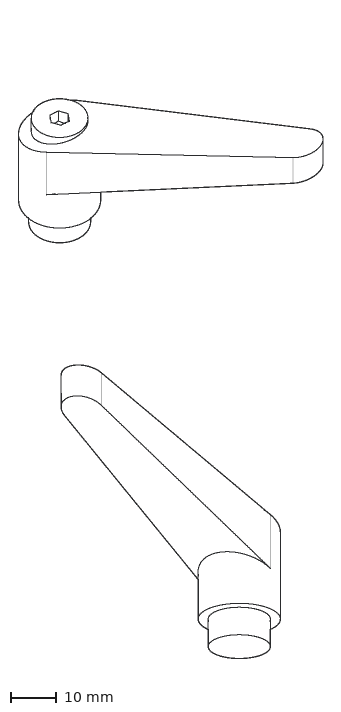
import cadquery as cq
import math

overall_length = 71.0
overall_height = 45.66

hub_radius = 9.0
neck_diameter = 13.6
neck_height = 6.5
cap_diameter = 12.4
cap_top = 31.0

tip_radius = 5.0
tip_end_x = overall_length - hub_radius
tip_center_x = tip_end_x - tip_radius
top_slope = math.tan(math.radians(15.4))
underside_slope = math.tan(math.radians(20.0))
tip_thickness = 7.3

socket_flats = 4.0
socket_corners = socket_flats / math.cos(math.pi / 6)
socket_depth = 3.0
socket_point_angle = 118.0


def top_height(x):
    """Height of the sloping top plane at x."""
    return overall_height - top_slope * (tip_end_x - x)


def underside_height(x):
    """Height of the arm's sloping underside at x."""
    return overall_height - tip_thickness - underside_slope * (tip_end_x - x)


def make_below_top():
    """Everything from the hub's bottom face up to the sloping top plane."""
    return (
        cq.Workplane("XZ")
        .moveTo(-hub_radius, neck_height)
        .lineTo(tip_end_x, neck_height)
        .lineTo(tip_end_x, top_height(tip_end_x))
        .lineTo(-hub_radius, top_height(-hub_radius))
        .close()
        .extrude(hub_radius, both=True)
    )


def make_hub():
    cylinder = (
        cq.Workplane("XY", origin=(0, 0, neck_height))
        .circle(hub_radius)
        .extrude(overall_height - neck_height)
    )
    return cylinder.intersect(make_below_top())


def make_arm():
    """Arm whose straight sides are tangent to the hub and to the rounded tip."""
    tangent_x = (hub_radius - tip_radius) / tip_center_x
    tangent_y = math.sqrt(1 - tangent_x**2)
    root_x = hub_radius * tangent_x
    root_y = hub_radius * tangent_y
    tip_x = tip_center_x + tip_radius * tangent_x
    tip_y = tip_radius * tangent_y
    plan = (
        cq.Workplane("XY")
        .moveTo(root_x, -root_y)
        .lineTo(tip_x, -tip_y)
        .threePointArc((tip_end_x, 0), (tip_x, tip_y))
        .lineTo(root_x, root_y)
        .close()
        .extrude(overall_height)
    )
    side_profile = (
        cq.Workplane("XZ")
        .moveTo(root_x, underside_height(root_x))
        .lineTo(tip_end_x, underside_height(tip_end_x))
        .lineTo(tip_end_x, top_height(tip_end_x))
        .lineTo(root_x, top_height(root_x))
        .close()
        .extrude(hub_radius, both=True)
    )
    return plan.intersect(side_profile)


def make_neck():
    return cq.Workplane("XY").circle(neck_diameter / 2).extrude(neck_height)


def make_cap():
    """Screw cap, rooted in the hub and standing above its sloping top."""
    return (
        cq.Workplane("XY", origin=(0, 0, neck_height))
        .circle(cap_diameter / 2)
        .extrude(cap_top - neck_height)
    )


def make_socket():
    """Hexagonal recess ending in a drill-point cone."""
    corner_radius = socket_corners / 2
    point_depth = corner_radius / math.tan(math.radians(socket_point_angle / 2))
    full_depth = socket_depth + point_depth
    hexagon = (
        cq.Workplane("XY", origin=(0, 0, cap_top - full_depth))
        .polygon(6, socket_corners)
        .extrude(full_depth)
    )
    envelope_radius = cap_diameter / 2
    envelope_rise = point_depth * envelope_radius / corner_radius
    drill_point = (
        cq.Workplane("XZ")
        .moveTo(0, cap_top - full_depth)
        .lineTo(envelope_radius, cap_top - full_depth + envelope_rise)
        .lineTo(envelope_radius, cap_top)
        .lineTo(0, cap_top)
        .close()
        .revolve(360, (0, 0, 0), (0, 1, 0))
    )
    return hexagon.intersect(drill_point)


result = make_hub().union(make_arm()).union(make_neck()).union(make_cap()).cut(make_socket())